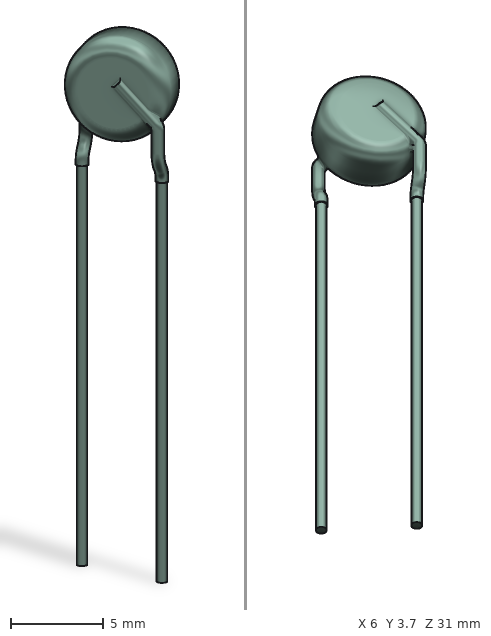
import cadquery as cq
import math

DISC_DIAMETER = 6.0
DISC_THICKNESS = 3.32
DISC_EDGE_RADIUS = 1.0

OVERALL_HEIGHT = 31.0
OVERALL_DEPTH = 3.7
LEAD_SPACING = 5.0
WIRE_DIAMETER = 0.6
COATED_DIAMETER = 0.7

FACE_BEND_ANGLE = math.radians(45)
FACE_END_X = 0.25
FACE_BEND_RADIUS = 0.5
FACE_BEND_BOTTOM_Z = -1.9
STRAIGHT_LENGTH = 1.3
KINK_ANGLE = math.radians(47)
UPPER_KINK_RADIUS = 1.4
LOWER_KINK_RADIUS = 0.95
COATED_TAIL_LENGTH = 0.15

JOINT_FILLET_RADIUS = 0.15

lead_x = LEAD_SPACING / 2
coated_y = -(OVERALL_DEPTH - COATED_DIAMETER) / 2
wire_bottom_z = DISC_DIAMETER / 2 - OVERALL_HEIGHT


def make_disc():
    return (
        cq.Workplane("XZ")
        .workplane(offset=-DISC_THICKNESS / 2)
        .circle(DISC_DIAMETER / 2)
        .extrude(DISC_THICKNESS)
        .edges()
        .fillet(DISC_EDGE_RADIUS)
    )


def sweep_round(diameter, plane, path):
    """Sweep a circle, centred on the plane's origin, along the path."""
    return cq.Workplane(plane).circle(diameter / 2).sweep(path)


def arc_offset(radius, angle):
    """Distances an arc travels across and along its straight end."""
    return radius * (1 - math.cos(angle)), radius * math.sin(angle)


def make_face_length():
    """Coated wire rising from the lead line, bending and crossing the disc face diagonally."""
    start = cq.Plane(origin=(lead_x, coated_y, FACE_BEND_BOTTOM_Z), xDir=(1, 0, 0), normal=(0, 0, 1))
    across, along = arc_offset(FACE_BEND_RADIUS, FACE_BEND_ANGLE)
    half_across, half_along = arc_offset(FACE_BEND_RADIUS, FACE_BEND_ANGLE / 2)
    diagonal_run = lead_x - across - FACE_END_X
    diagonal_rise = diagonal_run / math.tan(FACE_BEND_ANGLE)
    path = (
        cq.Workplane("XZ", origin=start.origin.toTuple())
        .moveTo(0, 0)
        .threePointArc((-half_across, half_along), (-across, along))
        .line(-diagonal_run, diagonal_rise)
    )
    return sweep_round(COATED_DIAMETER, start, path)


def make_kinked_length():
    """Coated wire running down from the face bend and kinking inwards, then the bare wire."""
    upper_across, upper_along = arc_offset(UPPER_KINK_RADIUS, KINK_ANGLE)
    upper_half_across, upper_half_along = arc_offset(UPPER_KINK_RADIUS, KINK_ANGLE / 2)
    lower_across, lower_along = arc_offset(LOWER_KINK_RADIUS, KINK_ANGLE)
    lower_half_across, lower_half_along = arc_offset(LOWER_KINK_RADIUS, KINK_ANGLE / 2)
    kink_start_z = -STRAIGHT_LENGTH
    middle_z = kink_start_z - upper_along
    end_y = upper_across + lower_across
    end_z = middle_z - lower_along
    tail_z = end_z - COATED_TAIL_LENGTH

    start = cq.Plane(origin=(lead_x, coated_y, FACE_BEND_BOTTOM_Z), xDir=(1, 0, 0), normal=(0, 0, -1))
    path = (
        cq.Workplane("YZ", origin=start.origin.toTuple())
        .moveTo(0, 0)
        .lineTo(0, kink_start_z)
        .threePointArc((upper_half_across, kink_start_z - upper_half_along), (upper_across, middle_z))
        .threePointArc((end_y - lower_half_across, end_z + lower_half_along), (end_y, end_z))
        .lineTo(end_y, tail_z)
    )
    coated = sweep_round(COATED_DIAMETER, start, path)

    tail_bottom_z = FACE_BEND_BOTTOM_Z + tail_z
    wire = (
        cq.Workplane("XY", origin=(lead_x, coated_y + end_y, wire_bottom_z))
        .circle(WIRE_DIAMETER / 2)
        .extrude(tail_bottom_z - wire_bottom_z)
    )
    return coated.union(wire)


front_lead = make_face_length().union(make_kinked_length())
rear_lead = front_lead.rotate((0, 0, 0), (0, 0, 1), 180)
joined = make_disc().union(front_lead).union(rear_lead)

flat_joint_edges = joined.faces("|Y").edges("%LINE")
rim_joint_edges = joined.edges("%BSPLINE")
result = flat_joint_edges.add(rim_joint_edges).fillet(JOINT_FILLET_RADIUS)